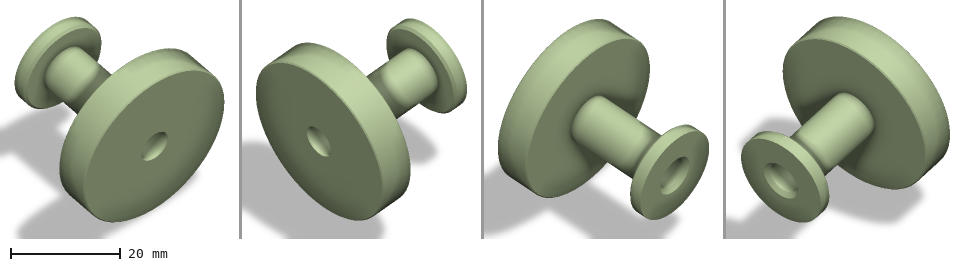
import cadquery as cq

total_length = 28.55
disc_diameter = 33.78
disc_thickness = 7.2
disc_chamfer = 0.25

flange_diameter = 18.68
flange_thickness = 2.97
flange_chamfer = 0.5

stem_diameter = 9.6
bore_diameter = 6.4
countersink_diameter = 7.97
countersink_depth = (countersink_diameter - bore_diameter) / 2


def cylinder(diameter, start_x, length):
    """Solid cylinder on the X axis, from start_x towards +X."""
    return cq.Workplane("YZ", origin=(start_x, 0, 0)).circle(diameter / 2).extrude(length)


flange = cylinder(flange_diameter, 0, flange_thickness).faces(">X").edges().chamfer(flange_chamfer)

disc = cylinder(disc_diameter, total_length - disc_thickness, disc_thickness)
disc = disc.faces("<X or >X").edges().chamfer(disc_chamfer)

stem = cylinder(stem_diameter, 0, total_length)
body = flange.union(stem).union(disc)

body = body.cut(cylinder(bore_diameter, 0, total_length))
bore_rim = cq.selectors.RadiusNthSelector(0)
result = body.faces("<X").edges(bore_rim).chamfer(countersink_depth)